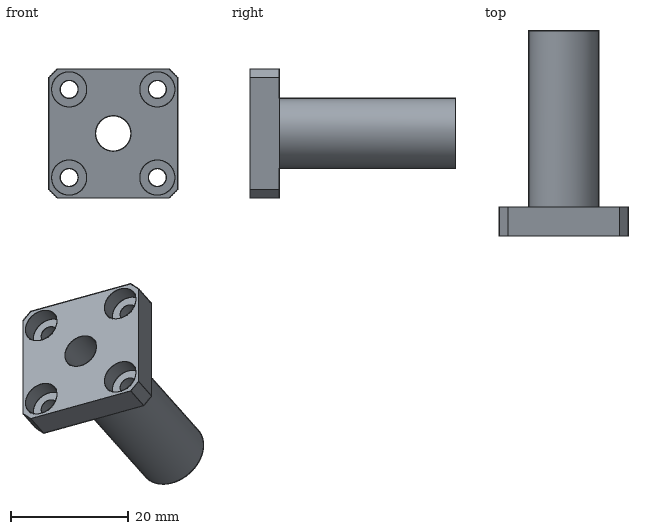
import cadquery as cq

total_length = 35.0
flange_side = 22.0
flange_thickness = 5.0
corner_chamfer = 1.5

tube_diameter = 12.0
bore_diameter = 6.0

hole_spacing = 15.0
hole_diameter = 3.0
counterbore_diameter = 6.0
counterbore_depth = 3.0

flange = (
    cq.Workplane("XZ")
    .rect(flange_side, flange_side)
    .extrude(-flange_thickness)
    .edges("|Y")
    .chamfer(corner_chamfer)
)

tube = cq.Workplane("XZ").circle(tube_diameter / 2).extrude(-total_length)

bore = cq.Workplane("XZ").circle(bore_diameter / 2).extrude(-total_length)

hole_pattern = cq.Workplane("XZ").rect(hole_spacing, hole_spacing, forConstruction=True).vertices()
screw_holes = hole_pattern.circle(hole_diameter / 2).extrude(-flange_thickness)
counterbores = hole_pattern.circle(counterbore_diameter / 2).extrude(-counterbore_depth)

result = flange.union(tube).cut(bore).cut(screw_holes).cut(counterbores)